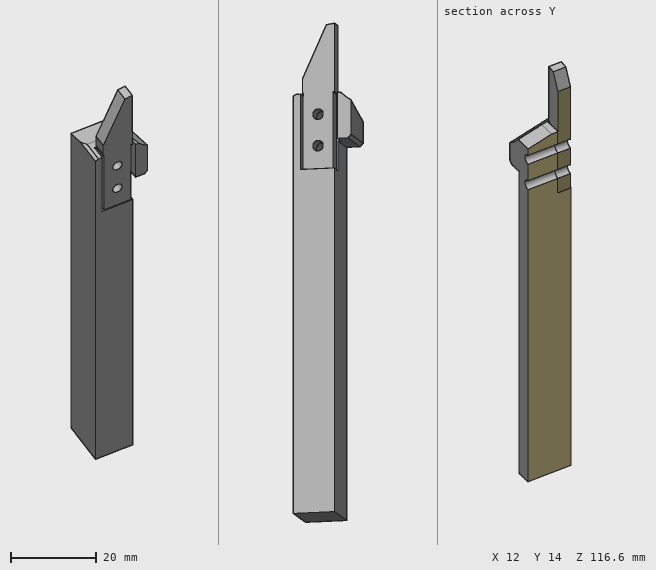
import cadquery as cq
import math

holder_width = 12.0
holder_height = 100.0
shank_depth = 10.0
head_depth = 14.0
head_bottom = 89.0
head_corner_chamfer = 0.8

side_slope_angle = 15.0
side_slope_run = 6.5
front_bevel_depth = 0.8
front_bevel_drop = 0.45
back_slope_start = 10.3
back_slope_middle_run = 1.3
back_slope_middle_fall = 1.5
back_slope_fall = 3.4

seat_left = 8.3
seat_front = 1.8
seat_back = 10.7
seat_bottom = 82.0

overall_height = 116.57
blade_thickness = 3.5
blade_front = 2.2
blade_back = 10.0
blade_tip_depth = 2.0
blade_tip_angle = 8.0
blade_shoulder = 103.6
blade_step_height = 100.2
tang_front_inset = 0.2
tang_back_inset = 0.4

hole_diameter = 2.5
hole_y = 6.0
hole_heights = (87.5, 95.0)

side_slope_drop = side_slope_run * math.tan(math.radians(side_slope_angle))
left_top = holder_height - side_slope_drop


def cross_holes():
    """Cylinders along X that pierce the whole width of the holder."""
    points = [(hole_y, height) for height in hole_heights]
    return cq.Workplane("YZ").pushPoints(points).circle(hole_diameter / 2).extrude(holder_width)


def side_slope_cutter():
    """Wedge that slopes the top down toward -X."""
    outline = [(0, left_top), (side_slope_run, holder_height), (0, holder_height)]
    return cq.Workplane("XZ").polyline(outline).close().extrude(-head_depth)


def front_bevel_cutter():
    """Wedge that bevels the front edge of the top."""
    outline = [
        (0, holder_height - front_bevel_drop),
        (front_bevel_depth, holder_height),
        (0, holder_height),
    ]
    return cq.Workplane("YZ").polyline(outline).close().extrude(holder_width)


def back_slope_cutter():
    """Hollow-ground wedge at the back of the top, swept parallel to the side slope."""
    start = (back_slope_start, left_top)
    middle = (back_slope_start + back_slope_middle_run, left_top - back_slope_middle_fall)
    end = (head_depth, left_top - back_slope_fall)
    profile = (
        cq.Workplane("YZ")
        .moveTo(*start)
        .threePointArc(middle, end)
        .lineTo(head_depth, holder_height)
        .lineTo(back_slope_start, holder_height)
        .close()
    )
    sweep_rise = holder_width * math.tan(math.radians(side_slope_angle))
    wedge = cq.Solid.extrudeLinear(profile.val(), [], cq.Vector(holder_width, 0, sweep_rise))
    return cq.Workplane(obj=wedge)


def seat_cutter():
    """Rectangular seat for the blade in the +X side of the holder."""
    seat_width = holder_width - seat_left
    seat_depth = seat_back - seat_front
    seat_height = holder_height - seat_bottom
    corner = (seat_left, seat_front, seat_bottom)
    return cq.Workplane("XY", origin=corner).box(seat_width, seat_depth, seat_height, centered=False)


def make_holder():
    """Shank and head in one extrusion, with the top ground to slopes and the seat cut in."""
    outline = [
        (0, 0),
        (shank_depth, 0),
        (shank_depth, head_bottom),
        (head_depth - head_corner_chamfer, head_bottom),
        (head_depth, head_bottom + head_corner_chamfer),
        (head_depth, holder_height),
        (0, holder_height),
    ]
    body = cq.Workplane("YZ").polyline(outline).close().extrude(holder_width)
    body = body.cut(side_slope_cutter()).cut(front_bevel_cutter()).cut(back_slope_cutter())
    return body.cut(seat_cutter()).cut(cross_holes())


def make_blade():
    """Flat blade with a tang in the seat and a head tapering to a narrow tip."""
    tip_front_drop = blade_tip_depth * math.tan(math.radians(blade_tip_angle))
    outline = [
        (blade_front + tang_front_inset, seat_bottom),
        (blade_back - tang_back_inset, seat_bottom),
        (blade_back - tang_back_inset, blade_step_height),
        (blade_back, blade_step_height),
        (blade_back, overall_height),
        (blade_back - blade_tip_depth, overall_height - tip_front_drop),
        (blade_front, blade_shoulder),
        (blade_front, blade_step_height),
        (blade_front + tang_front_inset, blade_step_height),
    ]
    blade = cq.Workplane("YZ", origin=(seat_left, 0, 0)).polyline(outline).close().extrude(blade_thickness)
    return blade.cut(cross_holes())


holder = make_holder()
blade = make_blade()
result = cq.Compound.makeCompound([holder.val(), blade.val()])